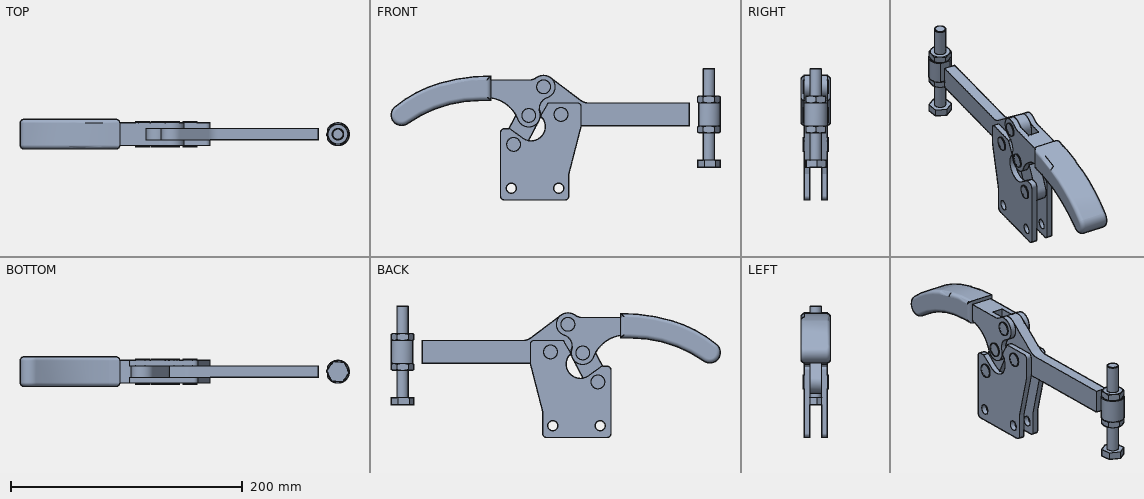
import cadquery as cq
import math


gap_width = 10.0
body_width = 20.0
rivet_length = 22.0
grip_width = 26.0

handle_arm_pin = (37.3, 98.0)
handle_link_pin = (24.5, 73.0)
base_arm_pin = (52.4, 74.0)
base_link_pin = (11.5, 48.0)
rivet_radius = 6.0
boss_radius = 10.0

base_width = 59.2
base_shoulder_width = 69.7
base_height = 84.0
base_left_height = 61.7
slant_bottom = 22.5
slant_top = 63.5
base_corner_radius = 3.5
notch_center = (26.5, 63.5)
notch_radius = 12.2
notch_left = 8.0
notch_right = 41.3
notch_right_angle = math.radians(60)
mount_hole_radius = 4.3
mount_hole_height = 10.2
mount_hole_xs = (9.5, 50.5)

arm_end = 163.3
arm_height = 20.0
arm_bottom = base_arm_pin[1] - boss_radius
arm_top = arm_bottom + arm_height
arm_slope_angle = math.radians(37)
arm_slope_fillet = 12.0
heel_rise = 1.7
link_clearance = 0.3

handle_top = 103.9
handle_height = 15.6
handle_slot_start = 14.5
handle_ramp_angle = math.radians(28)
handle_top_fillet = 6.5
handle_neck_radius = 10.0
handle_belly_radius = 30.0

grip_mouth = -8.3
grip_top = 107.3
grip_height = 21.3
grip_tip = -94.5
grip_tip_radius = 9.0
grip_low_radius = 109.0
grip_low_start = -17.4
grip_high_radius = 159.3
grip_high_angle = math.radians(16)
grip_edge_radius = 3.5

spindle_x = 180.0
spindle_top = 113.8
spindle_bottom = 28.2
bolt_diameter = 10.0
bolt_chamfer = 0.5
head_height = 6.3
head_turn = 6.0
hex_across_flats = 17.0
nut_height = 6.0
nut_chamfer_angle = math.radians(30)
sleeve_radius = 10.0
sleeve_flat = 8.8


def polar(center, radius, angle):
    """Point at a distance and direction from a center."""
    return (center[0] + radius * math.cos(angle), center[1] + radius * math.sin(angle))


def toward(start, end, distance):
    """Point at a distance from start on the way to end."""
    return polar(start, distance, math.atan2(end[1] - start[1], end[0] - start[0]))


def circle_meet(c1, r1, c2, r2, side):
    """Crossing of two circles; side is +1 for the one left of the way from c1 to c2, -1 for the right."""
    gap = math.dist(c1, c2)
    turn = math.acos((r1**2 + gap**2 - r2**2) / (2 * r1 * gap))
    return polar(c1, r1, math.atan2(c2[1] - c1[1], c2[0] - c1[0]) + side * turn)


def arc_middle(center, start, end):
    """Middle of the shorter arc from start to end."""
    chord_middle = ((start[0] + end[0]) / 2, (start[1] + end[1]) / 2)
    return toward(center, chord_middle, math.dist(center, start))


def lower_tangent_point(point, center, radius):
    """Where a line from a point on the left touches the underside of a circle."""
    direction = math.atan2(point[1] - center[1], point[0] - center[0])
    return polar(center, radius, direction + math.acos(radius / math.dist(point, center)))


def slab(outline, thickness):
    """Closed XZ outline thickened evenly to both sides of Y = 0."""
    return outline.extrude(thickness / 2, both=True)


def disk(center, radius, thickness):
    return slab(cq.Workplane("XZ").center(*center).circle(radius), thickness)


def rivet(pin):
    return disk(pin, rivet_radius, rivet_length)


def make_base():
    """Two equal plates joined by the two fixed rivets."""
    notch_start = (notch_left, base_left_height)
    notch_low = lower_tangent_point(notch_start, notch_center, notch_radius)
    top_corner = (notch_right, base_height)
    dx = notch_right - notch_center[0]
    dz = base_height - notch_center[1]
    along = dx * math.cos(notch_right_angle) + dz * math.sin(notch_right_angle)
    drop = along - math.sqrt(along**2 - dx**2 - dz**2 + notch_radius**2)
    notch_high = polar(top_corner, -drop, notch_right_angle)

    outline = (
        cq.Workplane("XZ")
        .polyline([
            (0, base_left_height),
            (0, 0),
            (base_width, 0),
            (base_width, slant_bottom),
            (base_shoulder_width, slant_top),
            (base_shoulder_width, base_height),
            top_corner,
            notch_high,
        ])
        .threePointArc(arc_middle(notch_center, notch_high, notch_low), notch_low)
        .lineTo(*notch_start)
        .close()
    )
    plates = slab(outline, body_width)
    for corner in [(0, 0), (base_width, 0), (0, base_left_height), (base_shoulder_width, base_height)]:
        nearest = cq.selectors.NearestToPointSelector((corner[0], 0, corner[1]))
        plates = plates.edges("|Y").edges(nearest).fillet(base_corner_radius)
    for x in mount_hole_xs:
        plates = plates.cut(disk((x, mount_hole_height), mount_hole_radius, body_width))
    gap = cq.Workplane("XY").box(4 * base_width, gap_width, 4 * base_height)
    return plates.cut(gap).union(rivet(base_arm_pin)).union(rivet(base_link_pin))


def link_bar():
    """Straight bar with round ends between the base and the handle, without its holes."""
    length = math.dist(base_link_pin, handle_link_pin)
    rise = handle_link_pin[1] - base_link_pin[1]
    run = handle_link_pin[0] - base_link_pin[0]
    middle = (base_link_pin[0] + run / 2, base_link_pin[1] + rise / 2)
    tilt = math.degrees(math.atan2(rise, run))
    outline = cq.Workplane("XZ").center(*middle).slot2D(length + 2 * boss_radius, 2 * boss_radius, tilt)
    return slab(outline, gap_width)


def make_link():
    link = link_bar()
    for pin in (handle_link_pin, base_link_pin):
        link = link.cut(disk(pin, rivet_radius, gap_width))
    return link


def make_arm():
    """Flat bar with a raised eye for the handle pin."""
    slope_start = polar(handle_arm_pin, boss_radius, math.pi / 2 - arm_slope_angle)
    slope_end_x = slope_start[0] + (slope_start[1] - arm_top) / math.tan(arm_slope_angle)
    eye_left = handle_arm_pin[0] - boss_radius
    heel = (eye_left, handle_link_pin[1] + heel_rise)
    outline = (
        cq.Workplane("XZ")
        .polyline([
            (eye_left, handle_arm_pin[1]),
            heel,
            lower_tangent_point(heel, base_arm_pin, boss_radius),
            (base_arm_pin[0], arm_bottom),
            (arm_end, arm_bottom),
            (arm_end, arm_top),
            (slope_end_x, arm_top),
            slope_start,
            handle_arm_pin,
        ])
        .close()
    )
    bend = cq.selectors.NearestToPointSelector((slope_end_x, 0, arm_top))
    arm = slab(outline, gap_width).edges("|Y").edges(bend).fillet(arm_slope_fillet)
    for pin in (handle_arm_pin, base_arm_pin):
        arm = arm.union(disk(pin, boss_radius, gap_width))
    arm = arm.cut(disk(handle_link_pin, boss_radius + link_clearance, gap_width))
    for pin in (handle_arm_pin, base_arm_pin):
        arm = arm.cut(disk(pin, rivet_radius, gap_width))
    return arm


def make_handle():
    """Lever forked over the arm and the link, with its two rivets. Clears the link it holds."""
    ramp_end = polar(handle_arm_pin, boss_radius, math.pi / 2 + handle_ramp_angle)
    ramp_start_x = ramp_end[0] - (ramp_end[1] - handle_top) / math.tan(handle_ramp_angle)
    neck_reach = boss_radius + handle_neck_radius
    neck_center = circle_meet(handle_link_pin, neck_reach, handle_arm_pin, neck_reach, -1)
    neck_top = toward(handle_arm_pin, neck_center, boss_radius)
    neck_bottom = toward(handle_link_pin, neck_center, boss_radius)
    belly_start = (grip_mouth, handle_top - handle_height)
    belly_reach = boss_radius + handle_belly_radius
    belly_center = circle_meet(handle_link_pin, belly_reach, belly_start, handle_belly_radius, 1)
    belly_end = toward(handle_link_pin, belly_center, boss_radius)

    upper_round = polar(handle_arm_pin, boss_radius, math.radians(45))
    lower_round = polar(handle_link_pin, boss_radius, math.radians(-75))

    outline = (
        cq.Workplane("XZ")
        .moveTo(grip_mouth, handle_top)
        .lineTo(ramp_start_x, handle_top)
        .lineTo(*ramp_end)
        .threePointArc(upper_round, neck_top)
        .threePointArc(arc_middle(neck_center, neck_top, neck_bottom), neck_bottom)
        .threePointArc(lower_round, belly_end)
        .threePointArc(arc_middle(belly_center, belly_end, belly_start), belly_start)
        .close()
    )
    slot = cq.Workplane("XY").box(base_width, gap_width, 4 * base_height, centered=(False, True, True))
    ramp_foot = cq.selectors.NearestToPointSelector((ramp_start_x, 0, handle_top))
    handle = slab(outline, body_width).edges("|Y").edges(ramp_foot).fillet(handle_top_fillet)
    handle = handle.cut(slot.translate((handle_slot_start, 0, 0))).cut(link_bar())
    return handle.union(rivet(handle_arm_pin)).union(rivet(handle_link_pin))


def make_grip():
    """Curved grip butted against the end of the handle."""
    r = grip_tip_radius
    grip_bottom = grip_top - grip_height
    low_center = (grip_low_start, grip_bottom - grip_low_radius)
    high_center = (grip_mouth, grip_top - grip_high_radius)
    tip_x = grip_tip + r
    tip_angle = math.acos((tip_x - grip_low_start) / (grip_low_radius + r))
    tip_center = polar(low_center, grip_low_radius + r, tip_angle)
    low_end = polar(low_center, grip_low_radius, tip_angle)
    normal = math.pi / 2 + grip_high_angle
    high_joint = polar(high_center, grip_high_radius, normal)
    dx = high_joint[0] - tip_center[0]
    dz = high_joint[1] - tip_center[1]
    offset = dx * math.cos(normal) + dz * math.sin(normal)
    second_radius = (dx**2 + dz**2 - r**2) / (2 * (offset - r))
    second_center = polar(high_joint, -second_radius, normal)
    high_end = toward(second_center, tip_center, second_radius)

    outline = (
        cq.Workplane("XZ")
        .moveTo(grip_mouth, grip_bottom)
        .lineTo(grip_mouth, grip_top)
        .threePointArc(polar(high_center, grip_high_radius, normal - grip_high_angle / 2), high_joint)
        .threePointArc(arc_middle(second_center, high_joint, high_end), high_end)
        .threePointArc((grip_tip, tip_center[1]), low_end)
        .threePointArc(
            polar(low_center, grip_low_radius, (tip_angle + math.pi / 2) / 2),
            (grip_low_start, grip_bottom),
        )
        .close()
    )
    return slab(outline, grip_width).faces("<Y or >Y").edges().fillet(grip_edge_radius)


def hexagon(bottom, height):
    across_corners = hex_across_flats / math.cos(math.pi / 6)
    return cq.Workplane("XY").workplane(offset=bottom).polygon(6, across_corners).extrude(height)


def make_nut(bottom):
    """Hexagon nut with the corners of both ends turned off at an angle."""
    flat = hex_across_flats / 2
    corner = flat / math.cos(math.pi / 6)
    drop = (corner - flat) * math.tan(nut_chamfer_angle)
    turned = (
        cq.Workplane("XZ")
        .polyline([
            (0, bottom),
            (flat, bottom),
            (corner, bottom + drop),
            (corner, bottom + nut_height - drop),
            (flat, bottom + nut_height),
            (0, bottom + nut_height),
        ])
        .close()
        .revolve(360, (0, 0, 0), (0, 1, 0))
    )
    return hexagon(bottom, nut_height).intersect(turned)


def make_spindle():
    """Hexagon bolt with a flatted sleeve locked between two nuts, level with the arm."""
    bolt = (
        cq.Workplane("XY")
        .workplane(offset=spindle_bottom)
        .circle(bolt_diameter / 2)
        .extrude(spindle_top - spindle_bottom)
        .faces(">Z")
        .chamfer(bolt_chamfer)
    )
    head = hexagon(spindle_bottom, head_height).rotate((0, 0, 0), (0, 0, 1), head_turn)
    sleeve = cq.Workplane("XY").workplane(offset=arm_bottom).circle(sleeve_radius).extrude(arm_height)
    keep = cq.Workplane("XY").box(
        2 * sleeve_radius, 2 * sleeve_radius, 4 * spindle_top, centered=(False, True, True)
    )
    sleeve = sleeve.intersect(keep.translate((-sleeve_flat, 0, 0)))
    spindle = bolt.union(head).union(sleeve)
    for nut_bottom in (arm_bottom - nut_height, arm_top):
        spindle = spindle.union(make_nut(nut_bottom))
    return spindle.translate((spindle_x, 0, 0))


base = make_base()
link = make_link()
arm = make_arm()
handle = make_handle()
grip = make_grip()
spindle = make_spindle()

bodies = [base, link, arm, handle, grip, spindle]
result = cq.Compound.makeCompound([body.solids().val() for body in bodies])